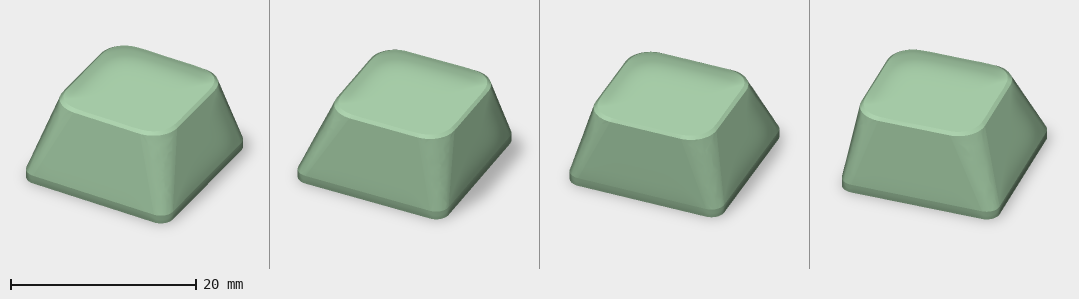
import cadquery as cq

base_width = 18.0
base_corner_radius = 1.5
skirt_height = 1.0

total_height = 9.0
top_width = 14.0
top_corner_radius = 3.0
top_shift_y = 1.0
top_edge_chamfer = 0.3


def rounded_square(width, corner_radius):
    """Square outline with rounded corners, centred on the origin."""
    return cq.Sketch().rect(width, width).vertices().fillet(corner_radius)


base_outline = rounded_square(base_width, base_corner_radius)
top_outline = rounded_square(top_width, top_corner_radius).moved(
    cq.Location(cq.Vector(0, top_shift_y, total_height - skirt_height))
)

skirt = cq.Workplane("XY").placeSketch(base_outline).extrude(skirt_height)

body = (
    cq.Workplane("XY", origin=(0, 0, skirt_height))
    .placeSketch(base_outline, top_outline)
    .loft(ruled=True)
)

keycap = skirt.union(body)
result = keycap.faces(">Z").edges().chamfer(top_edge_chamfer)